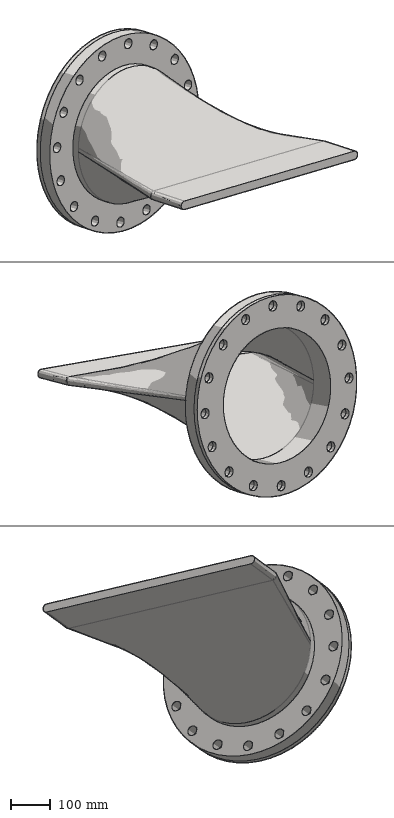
import cadquery as cq
import math


VALVE_LENGTH = 581.0
BILL_WIDTH = 615.0
FLANGE_DIAMETER = 520.0

FLANGE_THICKNESS = 13.0
NECK_DIAMETER = 360.0
NECK_WALL = 5.0
NECK_END = 68.0
BILL_LENGTH = 114.0
BILL_THICKNESS = 23.0
BILL_WALL = 3.0
PINCH_DEPTH = 18.5
LIP_LENGTH = 6.0
SIDE_SEAM_ANGLE = 1.6

RING_THICKNESS = 35.0

BOLT_COUNT = 16
BOLT_CIRCLE_DIAMETER = 470.0
BOLT_HOLE_DIAMETER = 26.0
FIRST_BOLT_ANGLE = 3.3

BORE_DIAMETER = NECK_DIAMETER - 2 * NECK_WALL
RING_END = FLANGE_THICKNESS + RING_THICKNESS
BILL_START = VALVE_LENGTH - BILL_LENGTH
PINCH_X = BILL_START + PINCH_DEPTH
CAVITY_WIDTH = BILL_WIDTH - 2 * BILL_WALL
CAVITY_HEIGHT = BILL_THICKNESS - 2 * BILL_WALL


def disc(diameter, x_start, x_end):
    """A solid cylinder along X."""
    return cq.Workplane("YZ", origin=(x_start, 0, 0)).circle(diameter / 2).extrude(x_end - x_start)


def bolt_holes():
    """Cutters for the bolt holes through the sleeve flange and the ring."""
    radius = BOLT_CIRCLE_DIAMETER / 2
    centres = []
    for index in range(BOLT_COUNT):
        angle = math.radians(FIRST_BOLT_ANGLE + index * 360 / BOLT_COUNT)
        centres.append((radius * math.sin(angle), radius * math.cos(angle)))
    holes = cq.Workplane("YZ").pushPoints(centres)
    return holes.circle(BOLT_HOLE_DIAMETER / 2).extrude(RING_END)


def round_outline(diameter):
    """The neck circle at NECK_END, split where the bill's rounded edges begin."""
    radius = diameter / 2
    seam = math.radians(SIDE_SEAM_ANGLE)
    seam_y = radius * math.cos(seam)
    seam_z = radius * math.sin(seam)
    return (
        cq.Workplane("YZ", origin=(NECK_END, 0, 0))
        .moveTo(seam_y, seam_z)
        .threePointArc((0, radius), (-seam_y, seam_z))
        .threePointArc((-radius, 0), (-seam_y, -seam_z))
        .threePointArc((0, -radius), (seam_y, -seam_z))
        .threePointArc((radius, 0), (seam_y, seam_z))
        .close()
    )


def flat_outline(width, height):
    """The flat bill section at BILL_START, with fully rounded edges."""
    edge_radius = height / 2
    side_y = width / 2
    seam_y = side_y - edge_radius
    return (
        cq.Workplane("YZ", origin=(BILL_START, 0, 0))
        .moveTo(seam_y, edge_radius)
        .lineTo(-seam_y, edge_radius)
        .threePointArc((-side_y, 0), (-seam_y, -edge_radius))
        .lineTo(seam_y, -edge_radius)
        .threePointArc((side_y, 0), (seam_y, edge_radius))
        .close()
    )


def transition(diameter, width, height):
    """The straight-ruled change from the round neck to the flat bill."""
    wires = [round_outline(diameter).val(), flat_outline(width, height).val()]
    return cq.Workplane(cq.Solid.makeLoft(wires, True))


def middle_wedge():
    """The full-width cavity that closes quickly, so that the lips meet at PINCH_X."""
    return (
        cq.Workplane("XZ")
        .moveTo(BILL_START, CAVITY_HEIGHT / 2)
        .lineTo(PINCH_X, 0)
        .lineTo(BILL_START, -CAVITY_HEIGHT / 2)
        .close()
        .extrude(CAVITY_WIDTH / 2, both=True)
    )


def side_pocket(side):
    """A tetrahedron from the pinch point to one bill edge (side is 1 or -1 for +Y or -Y)."""
    edge_y = side * CAVITY_WIDTH / 2
    corners = [
        cq.Vector(PINCH_X, 0, 0),
        cq.Vector(BILL_START, edge_y, CAVITY_HEIGHT / 2),
        cq.Vector(BILL_START, edge_y, -CAVITY_HEIGHT / 2),
        cq.Vector(VALVE_LENGTH - LIP_LENGTH, edge_y, 0),
    ]
    faces = []
    for omitted in corners:
        triangle = [corner for corner in corners if corner is not omitted]
        faces.append(cq.Face.makeFromWires(cq.Wire.makePolygon(triangle, close=True)))
    return cq.Workplane(cq.Solid.makeSolid(cq.Shell.makeShell(faces)))


def bill_cavity():
    """The cavity in the bill: pinched shut in the middle and reaching further along both edges."""
    cavity = middle_wedge()
    for side in (1, -1):
        cavity = cavity.union(side_pocket(side))
    return cavity.intersect(flat_outline(CAVITY_WIDTH, CAVITY_HEIGHT).extrude(BILL_LENGTH))


def make_sleeve():
    """The rubber sleeve: flange, neck, transition and bill, hollow up to the lips."""
    sleeve = (
        disc(FLANGE_DIAMETER, 0, FLANGE_THICKNESS)
        .union(disc(NECK_DIAMETER, FLANGE_THICKNESS, NECK_END))
        .union(transition(NECK_DIAMETER, BILL_WIDTH, BILL_THICKNESS))
        .union(flat_outline(BILL_WIDTH, BILL_THICKNESS).extrude(BILL_LENGTH))
    )
    hollow = (
        disc(BORE_DIAMETER, 0, NECK_END)
        .union(transition(BORE_DIAMETER, CAVITY_WIDTH, CAVITY_HEIGHT))
        .union(bill_cavity())
    )
    return sleeve.cut(hollow).cut(bolt_holes())


def make_backing_ring():
    """The ring that sits round the neck, against the back of the sleeve flange."""
    ring = disc(FLANGE_DIAMETER, FLANGE_THICKNESS, RING_END)
    neck_hole = disc(NECK_DIAMETER, FLANGE_THICKNESS, RING_END)
    return ring.cut(neck_hole).cut(bolt_holes())


sleeve = make_sleeve()
backing_ring = make_backing_ring()

result = cq.Compound.makeCompound([sleeve.solids().val(), backing_ring.solids().val()])